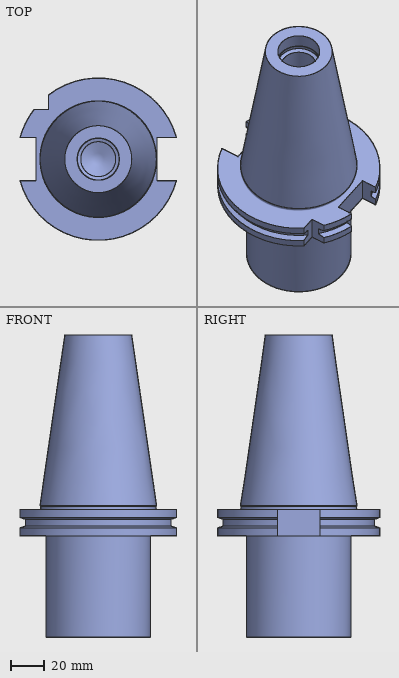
import math

import cadquery as cq


gauge_diameter = 69.85
taper_ratio = 7 / 24
taper_length = 101.6

neck_diameter = 69.4
taper_end_z = -0.8
neck_undercut_height = 0.5
neck_fillet = 0.5
flange_top_z = -3.2

flange_diameter = 97.5
flange_thickness = 15.9
groove_floor_diameter = 91.2
groove_floor_width = 4.0
groove_mouth_width = 6.3

slot_width = 25.75
left_slot_floor = 37.5
right_slot_floor = 35.3
notch_corner = 29.9

nose_diameter = 63.0
nose_bottom_z = -80.0
nose_chamfer = 0.3

pilot_diameter = 25.01
pilot_depth = 9.4
relief_diameter = 25.46
relief_end_depth = 11.7
drill_diameter = 21.0
drill_depth = 45.0
point_angle = 140.0

flange_radius = flange_diameter / 2
flange_bottom_z = flange_top_z - flange_thickness
groove_z = (flange_top_z + flange_bottom_z) / 2


def make_body():
    """Turned outside shape: nose, grooved flange, neck and taper."""
    small_end_radius = (gauge_diameter - taper_length * taper_ratio) / 2
    large_end_radius = (gauge_diameter - taper_end_z * taper_ratio) / 2
    neck_radius = neck_diameter / 2
    nose_radius = nose_diameter / 2
    groove_radius = groove_floor_diameter / 2
    outline = [
        (0, nose_bottom_z),
        (nose_radius - nose_chamfer, nose_bottom_z),
        (nose_radius, nose_bottom_z + nose_chamfer),
        (nose_radius, flange_bottom_z),
        (flange_radius, flange_bottom_z),
        (flange_radius, groove_z - groove_mouth_width / 2),
        (groove_radius, groove_z - groove_floor_width / 2),
        (groove_radius, groove_z + groove_floor_width / 2),
        (flange_radius, groove_z + groove_mouth_width / 2),
        (flange_radius, flange_top_z),
    ]
    fillet_start = (neck_radius + neck_fillet, flange_top_z)
    fillet_end = (neck_radius, flange_top_z + neck_fillet)
    return (
        cq.Workplane("XZ")
        .polyline(outline)
        .lineTo(*fillet_start)
        .radiusArc(fillet_end, neck_fillet)
        .lineTo(neck_radius, taper_end_z - neck_undercut_height)
        .lineTo(large_end_radius, taper_end_z)
        .lineTo(small_end_radius, taper_length)
        .lineTo(0, taper_length)
        .close()
        .revolve(360, (0, 0), (0, 1))
    )


def make_drawbar_hole():
    """Stepped blind hole with a conical drill point, to be cut from the small end."""
    drill_radius = drill_diameter / 2
    point_length = drill_radius / math.tan(math.radians(point_angle / 2))
    relief_radius = relief_diameter / 2
    seat_height = (relief_radius - drill_radius) / math.tan(math.radians(point_angle / 2))
    drill_end_z = taper_length - drill_depth
    outline = [
        (0, taper_length),
        (pilot_diameter / 2, taper_length),
        (pilot_diameter / 2, taper_length - pilot_depth),
        (relief_radius, taper_length - pilot_depth),
        (relief_radius, taper_length - relief_end_depth),
        (drill_radius, taper_length - relief_end_depth - seat_height),
        (drill_radius, drill_end_z),
        (0, drill_end_z - point_length),
    ]
    return cq.Workplane("XZ").polyline(outline).close().revolve(360, (0, 0), (0, 1))


def make_flange_cutter(x_inner, x_outer, y_low, y_high):
    """Box over the full thickness of the flange."""
    return (
        cq.Workplane("XY", origin=(0, 0, flange_bottom_z))
        .moveTo(x_inner, y_low)
        .lineTo(x_outer, y_low)
        .lineTo(x_outer, y_high)
        .lineTo(x_inner, y_high)
        .close()
        .extrude(flange_thickness)
    )


result = make_body().cut(make_drawbar_hole())

half_slot = slot_width / 2
result = result.cut(make_flange_cutter(-left_slot_floor, -flange_radius, -half_slot, half_slot))
result = result.cut(make_flange_cutter(right_slot_floor, flange_radius, -half_slot, half_slot))
result = result.cut(make_flange_cutter(-notch_corner, -flange_radius, notch_corner, flange_radius))